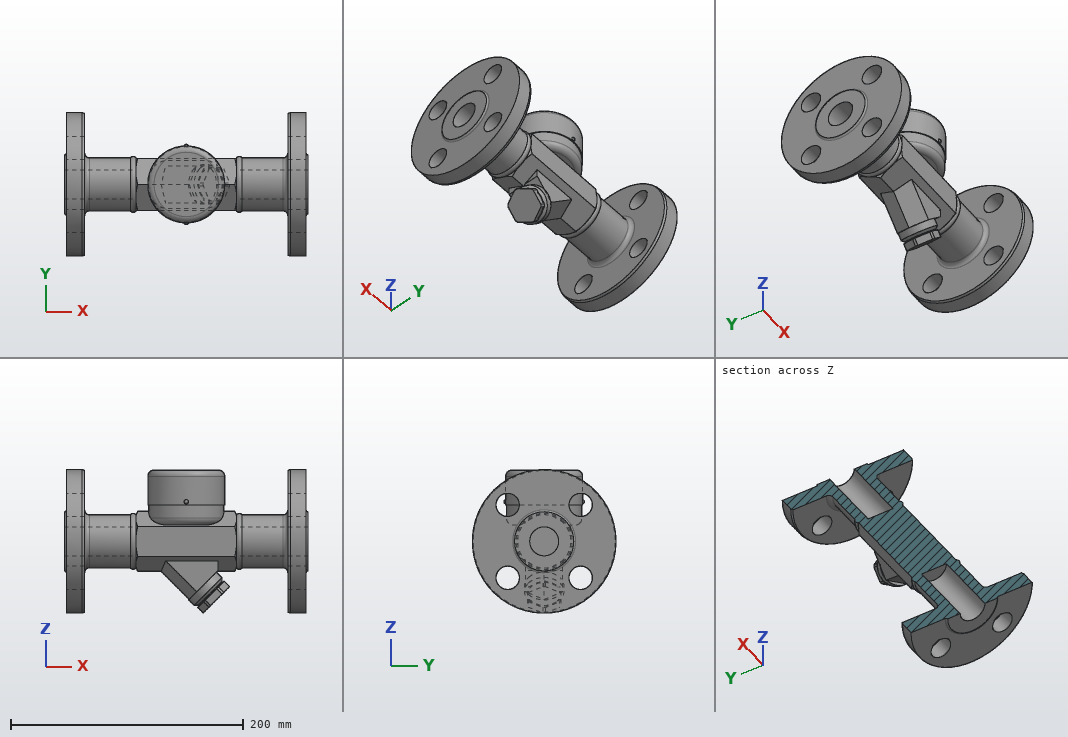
import cadquery as cq
import math

length = 210.0
half_length = length / 2
hexagon_sides = 6

flange_diameter = 124.0
flange_thickness = 15.9
flange_back_chamfer_length = 2.3
flange_back_chamfer_height = 0.8
raised_face_diameter = 51.0
raised_face_height = 1.6
bolt_circle_diameter = 88.9
bolt_hole_diameter = 20.0
bolt_hole_count = 4
bolt_hole_start_angle = 45.0

pipe_diameter = 46.0
pipe_fillet = 4.0
bore_diameter = 25.0
weld_width = 5.0
weld_height = 1.2

body_across_flats = 45.0
body_half_length = 43.2
body_end_radius = 23.0
body_end_chamfer_length = 1.4

cover_top = 61.5
cover_diameter = 66.5
cover_top_fillet = 5.5
cover_step_height = 31.2
cover_base_diameter = 65.0
cover_base_bottom = 14.0
cover_base_fillet = 6.0

pin_diameter = 3.8
pin_height = 34.1
pin_span = 69.4

arm_slope = 45.0
arm_axis_drop = 24.4
arm_width = 32.0
arm_end = 19.9
arm_side_wall_x = 27.5
arm_ridge_distance = 16.4
arm_ridge_slope = 30.0
arm_start = -22.5
arm_upper_reach = 45.0

plug_collar_diameter = 34.0
plug_collar_length = 6.7
plug_neck_diameter = 29.0
plug_neck_length = 1.0
plug_head_across_flats = 29.0
plug_head_diameter = 32.2
plug_head_length = 6.7


def corner_diameter(across_flats):
    """Diameter of the circle through the corners of a hexagon."""
    return across_flats / math.cos(math.pi / hexagon_sides)


def make_connection():
    """Flange, pipe and weld bead at the +X end, with its bolt holes."""
    flange_radius = flange_diameter / 2
    pipe_radius = pipe_diameter / 2
    face_radius = raised_face_diameter / 2
    front = half_length - raised_face_height
    back = front - flange_thickness
    weld_end = body_half_length + weld_width
    weld_middle = body_half_length + weld_width / 2
    arc_part = math.sqrt(0.5)
    face_arc_reach = raised_face_height * (1 - arc_part)
    pipe_arc_reach = pipe_fillet * (1 - arc_part)

    body = (
        cq.Workplane("XY")
        .moveTo(body_half_length, 0)
        .lineTo(half_length, 0)
        .lineTo(half_length, face_radius)
        .threePointArc(
            (front + face_arc_reach, face_radius + face_arc_reach),
            (front, face_radius + raised_face_height),
        )
        .lineTo(front, flange_radius)
        .lineTo(back + flange_back_chamfer_length, flange_radius)
        .lineTo(back, flange_radius - flange_back_chamfer_height)
        .lineTo(back, pipe_radius + pipe_fillet)
        .threePointArc(
            (back - pipe_arc_reach, pipe_radius + pipe_arc_reach),
            (back - pipe_fillet, pipe_radius),
        )
        .lineTo(weld_end, pipe_radius)
        .threePointArc((weld_middle, pipe_radius + weld_height), (body_half_length, pipe_radius))
        .close()
        .revolve(360, (0, 0, 0), (1, 0, 0))
    )
    bolt_holes = (
        cq.Workplane("YZ", origin=(back, 0, 0))
        .polarArray(bolt_circle_diameter / 2, bolt_hole_start_angle, 360, bolt_hole_count)
        .circle(bolt_hole_diameter / 2)
        .extrude(flange_thickness)
    )
    return body.cut(bolt_holes)


def make_bore():
    """Blind bore of the +X end, running up to the hexagonal body."""
    return (
        cq.Workplane("YZ", origin=(body_half_length, 0, 0))
        .circle(bore_diameter / 2)
        .extrude(half_length - body_half_length)
    )


def make_body():
    """Hexagonal bar whose end corners are turned down to a cone."""
    corner_radius = corner_diameter(body_across_flats) / 2
    bar = (
        cq.Workplane("YZ", origin=(-body_half_length, 0, 0))
        .transformed(rotate=(0, 0, 90))
        .polygon(hexagon_sides, 2 * corner_radius)
        .extrude(2 * body_half_length)
    )
    cone_start = body_half_length - body_end_chamfer_length
    turned = (
        cq.Workplane("XY")
        .moveTo(-body_half_length, 0)
        .lineTo(-body_half_length, body_end_radius)
        .lineTo(-cone_start, corner_radius)
        .lineTo(cone_start, corner_radius)
        .lineTo(body_half_length, body_end_radius)
        .lineTo(body_half_length, 0)
        .close()
        .revolve(360, (0, 0, 0), (1, 0, 0))
    )
    return bar.intersect(turned)


def make_cover():
    """Round cover: a cap over a slightly narrower base with a rounded bottom edge."""
    cap = (
        cq.Workplane("XY", origin=(0, 0, cover_step_height))
        .circle(cover_diameter / 2)
        .extrude(cover_top - cover_step_height)
        .faces(">Z")
        .edges()
        .fillet(cover_top_fillet)
    )
    base = (
        cq.Workplane("XY", origin=(0, 0, cover_base_bottom))
        .circle(cover_base_diameter / 2)
        .extrude(cover_step_height - cover_base_bottom)
        .faces("<Z")
        .edges()
        .fillet(cover_base_fillet)
    )
    return cap.union(base)


def make_pins():
    """Pair of pins with ball ends, crossing the cover along Y."""
    pin_radius = pin_diameter / 2
    ball_centre = pin_span / 2 - pin_radius
    pins = (
        cq.Workplane("XZ", origin=(0, ball_centre, pin_height))
        .circle(pin_radius)
        .extrude(2 * ball_centre)
    )
    for side in (-1, 1):
        ball = cq.Workplane("XY", origin=(0, side * ball_centre, pin_height)).sphere(pin_radius)
        pins = pins.union(ball)
    return pins


slope_cos = math.cos(math.radians(arm_slope))
slope_sin = math.sin(math.radians(arm_slope))
arm_plane = cq.Plane(
    origin=(0, 0, -arm_axis_drop),
    xDir=(slope_sin, 0, slope_cos),
    normal=(slope_cos, 0, -slope_sin),
)


def across_arm(distance):
    """Workplane across the arm at a distance along its axis."""
    return cq.Workplane(arm_plane).workplane(offset=distance)


def make_arm():
    """Flat-sided arm with a lower ridge, ending at a square face and an upright wall."""
    half_width = arm_width / 2
    shoulder = arm_ridge_distance - half_width * math.tan(math.radians(arm_ridge_slope))
    prism = (
        across_arm(arm_start)
        .moveTo(-arm_ridge_distance, 0)
        .lineTo(-shoulder, half_width)
        .lineTo(arm_upper_reach, half_width)
        .lineTo(arm_upper_reach, -half_width)
        .lineTo(-shoulder, -half_width)
        .close()
        .extrude(arm_end - arm_start)
    )
    kept = (
        cq.Workplane("XY")
        .box(length, arm_width, flange_diameter)
        .translate((arm_side_wall_x - length / 2, 0, -flange_diameter / 2))
    )
    return prism.intersect(kept)


def make_plug():
    """Round collar tapering to a neck, then a hexagon head with its corners turned down."""
    collar_radius = plug_collar_diameter / 2
    neck_radius = plug_neck_diameter / 2
    taper_length = collar_radius - neck_radius
    taper_start = arm_end + plug_collar_length
    neck_start = taper_start + taper_length
    head_start = neck_start + plug_neck_length
    collar = across_arm(arm_end).circle(collar_radius).extrude(plug_collar_length)
    taper = (
        across_arm(taper_start)
        .circle(collar_radius)
        .workplane(offset=taper_length)
        .circle(neck_radius)
        .loft()
    )
    neck = across_arm(neck_start).circle(neck_radius).extrude(plug_neck_length)
    hexagon = (
        across_arm(head_start)
        .polygon(hexagon_sides, corner_diameter(plug_head_across_flats))
        .extrude(plug_head_length)
    )
    turned = across_arm(head_start).circle(plug_head_diameter / 2).extrude(plug_head_length)
    head = hexagon.intersect(turned)
    return collar.union(taper).union(neck).union(head)


connection = make_connection()
bore = make_bore()
result = make_body().union(connection).union(connection.mirror("YZ"))
result = result.cut(bore).cut(bore.mirror("YZ"))
result = result.union(make_cover()).union(make_pins())
result = result.union(make_arm()).union(make_plug())